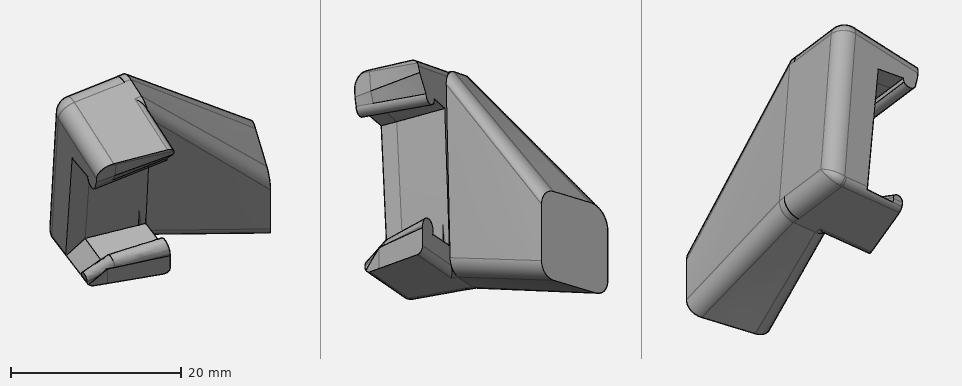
import cadquery as cq
import math

CLIP_DEPTH = 9.55
BOTTOM_LEFT = (-0.15, 3.35)
TOP_LEFT = (1.75, 29.35)
TOP_RIGHT = (14.82, 28.2)
BOTTOM_RIGHT = (14.82, 4.73)
EDGE_RADIUS = 2.05
BASE_FRONT_RADIUS = 0.88
TOP_BACK_RADIUS = 0.88

WING_START_Y = CLIP_DEPTH - TOP_BACK_RADIUS
WING_START_TOP = 6.6
WING_START_BASE = 7.45
WING_LENGTH_Y = 27.05
WING_END_LEFT = 0.58
WING_END_RIGHT = 11.15
WING_END_SLANT_Y = 2.83
WING_END_HEIGHT = 10.95
WING_RADIUS = 1.98
WING_END_TOP_LEFT_RADIUS = 2.92
POINT_TOLERANCE = 0.003

CLEAR_X = 17.5
CLEAR_TOP = 32.1
CLEAR_BOTTOM = 1.45
FLANGE_RAMP_DEPTH = 2.33
HOOK_ROOT = (11.0, 24.33)
HOOK_START = (11.08, 23.77)
HOOK_BOTTOM = (11.67, 23.42)
HOOK_END = (12.92, 24.42)

LIP_SECTIONS = [
    (0, 9.48, 10.88, 4.38, 5.98),
    (CLIP_DEPTH / 3, 9.92, 11.8, 4.67, 8.02),
    (CLIP_DEPTH, 11.3, 13.7, 4.75, 9.2),
]


def section(y):
    """Sketch plane across Y; local x is X and local y is Z."""
    return cq.Workplane(cq.Plane((0, y, 0), (1, 0, 0), (0, -1, 0)))


def loft(wires):
    """Solid with straight sides through a row of closed outlines."""
    return cq.Workplane(cq.Solid.makeLoft(wires, True))


def clip_edge(corner):
    """Selector for the edge along Y through a corner of the clip section."""
    return cq.selectors.NearestToPointSelector((corner[0], CLIP_DEPTH / 2, corner[1]))


def front_edge(first, second):
    """Selector for the front edge between two corners of the clip section."""
    middle = ((first[0] + second[0]) / 2, 0, (first[1] + second[1]) / 2)
    return cq.selectors.NearestToPointSelector(middle)


def clip_block():
    """Outer body of the clip with its rounded edges."""
    block = section(0).polyline([BOTTOM_LEFT, BOTTOM_RIGHT, TOP_RIGHT, TOP_LEFT]).close()
    block = block.extrude(-CLIP_DEPTH)
    front_rim = front_edge(TOP_LEFT, TOP_RIGHT) + front_edge(TOP_LEFT, BOTTOM_LEFT)
    block = block.edges(clip_edge(TOP_LEFT) + clip_edge(BOTTOM_LEFT) + front_rim).fillet(EDGE_RADIUS)
    block = block.faces("<Y").edges("<Z").fillet(BASE_FRONT_RADIUS)
    return block.faces(">Y").edges(">Z").fillet(TOP_BACK_RADIUS)


def opening_wire(y, wall_top, wall_base, tip_low, tip_high, flange_end):
    """Outline of the open space at one depth, with the hook rounded off."""
    outline = section(y).moveTo(*wall_top).lineTo(*HOOK_ROOT).lineTo(*HOOK_START)
    outline = outline.threePointArc(HOOK_BOTTOM, HOOK_END)
    outline = outline.lineTo(*tip_low).lineTo(*tip_high).lineTo(tip_high[0], CLEAR_TOP)
    outline = outline.lineTo(CLEAR_X, CLEAR_TOP).lineTo(CLEAR_X, CLEAR_BOTTOM)
    outline = outline.lineTo(flange_end[0], CLEAR_BOTTOM).lineTo(*flange_end)
    return outline.lineTo(*wall_base).close().val()


def opening():
    """Each section: wall top, wall base, low and high points of the jaw tip, flange end."""
    front = opening_wire(0, (7.12, 23.63), (5.45, 4.32), (13.18, 25.5), (13.45, 28.2), (10.88, 4.55))
    ramp_top = opening_wire(
        FLANGE_RAMP_DEPTH, (7.47, 23.65), (5.95, 6.77), (13.48, 25.8), (13.77, 28.1), (11.58, 7.03)
    )
    back = opening_wire(CLIP_DEPTH, (8.6, 23.8), (7.55, 7.23), (14.4, 26.63), (14.82, 27.7), (13.7, 7.73))
    return loft([front, ramp_top, back])


def lip_wire(y, left, right, base, crest):
    """Round-topped upright section of the lip."""
    shoulder = crest - (right - left) / 2
    outline = section(y).moveTo(left, base).lineTo(right, base).lineTo(right, shoulder)
    return outline.threePointArc(((left + right) / 2, crest), (left, shoulder)).close().val()


def lip():
    """Rising rib along the flange end, trimmed to the rounded outside of the clip."""
    wires = [lip_wire(*values) for values in LIP_SECTIONS]
    return loft(wires).intersect(clip_block())


def rounded_outline(plane, corners, radius, top_left_radius):
    """Closed outline; the last corner is the top left one and has its own radius."""
    outline = cq.Workplane(plane).polyline(corners).close().val()
    top_left = plane.toWorldCoords(corners[-1])

    def distance(vertex):
        return (vertex.Center() - top_left).Length

    outline = outline.fillet2D(top_left_radius, [min(outline.Vertices(), key=distance)])
    others = [plane.toWorldCoords(corner) for corner in corners[:-1]]
    sharp = [v for v in outline.Vertices() if any((v.Center() - c).Length < POINT_TOLERANCE for c in others)]
    return outline.fillet2D(radius, sharp)


def wing():
    """Arm from the back of the clip, dropping to a lower, wider end."""
    top_drop = (TOP_LEFT[1] - TOP_RIGHT[1]) / (TOP_RIGHT[0] - TOP_LEFT[0])
    base_rise = (BOTTOM_RIGHT[1] - BOTTOM_LEFT[1]) / (BOTTOM_RIGHT[0] - BOTTOM_LEFT[0])
    start = [
        BOTTOM_LEFT,
        (BOTTOM_LEFT[0] + WING_START_BASE, BOTTOM_LEFT[1] + base_rise * WING_START_BASE),
        (TOP_LEFT[0] + WING_START_TOP, TOP_LEFT[1] - top_drop * WING_START_TOP),
        TOP_LEFT,
    ]
    start_plane = section(CLIP_DEPTH).plane
    width_x = WING_END_RIGHT - WING_END_LEFT
    end_width = math.hypot(width_x, WING_END_SLANT_Y)
    end = [(0, 0), (end_width, 0), (end_width, WING_END_HEIGHT), (0, WING_END_HEIGHT)]
    end_plane = cq.Plane(
        (WING_END_LEFT, WING_LENGTH_Y, 0),
        (width_x, -WING_END_SLANT_Y, 0),
        (-WING_END_SLANT_Y, -width_x, 0),
    )
    wires = [
        rounded_outline(start_plane, start, WING_RADIUS, WING_RADIUS),
        rounded_outline(end_plane, end, WING_RADIUS, WING_END_TOP_LEFT_RADIUS),
    ]
    root = cq.Solid.extrudeLinear(wires[0], [], cq.Vector(0, WING_START_Y - CLIP_DEPTH, 0))
    return loft(wires).union(cq.Workplane(root))


result = clip_block().cut(opening()).union(lip()).union(wing())